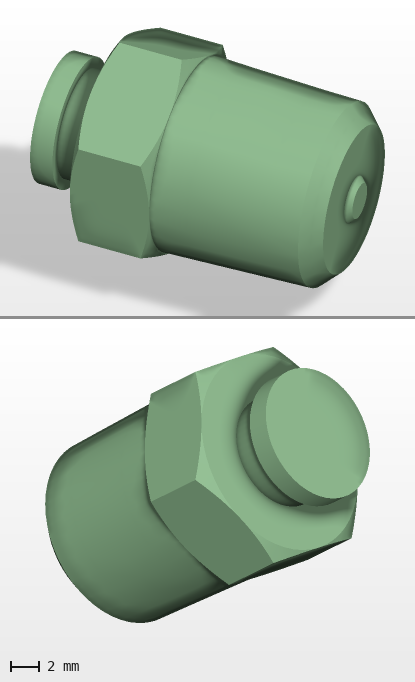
import cadquery as cq
import math

TOTAL_LENGTH = 22.73
BUTTON_HEAD_END = 1.68
HEX_START = 4.02
HEX_END = 9.98
BODY_END = 22.3

BUTTON_HEAD_DIAMETER = 9.52
BUTTON_NECK_DIAMETER = 7.95

HEX_ACROSS_FLATS = 14.3
HEX_ACROSS_CORNERS = HEX_ACROSS_FLATS / math.cos(math.radians(30))
HEX_CHAMFER_ANGLE = 30.0

STUD_ROOT_DIAMETER = 14.07
STUD_DIAMETER_TAPER = 1 / 16
STUD_CHAMFER = 1.32

TIP_BASE_DIAMETER = 3.45
TIP_LENGTH = TOTAL_LENGTH - BODY_END


def turned(profile):
    """Revolve a closed (x, radius) outline about the X axis."""
    return cq.Workplane("XY").polyline(profile).close().revolve(360, (0, 0, 0), (1, 0, 0))


def make_button():
    head_radius = BUTTON_HEAD_DIAMETER / 2
    neck_radius = BUTTON_NECK_DIAMETER / 2
    return turned([
        (0, 0),
        (0, head_radius),
        (BUTTON_HEAD_END, head_radius),
        (BUTTON_HEAD_END, neck_radius),
        (HEX_START, neck_radius),
        (HEX_START, 0),
    ])


def make_hexagon():
    """Hexagonal prism with both ends' corners turned off by a cone."""
    prism = (
        cq.Workplane("YZ", origin=(HEX_START, 0, 0))
        .transformed(rotate=(0, 0, 90))
        .polygon(6, HEX_ACROSS_CORNERS)
        .extrude(HEX_END - HEX_START)
    )
    face_radius = HEX_ACROSS_FLATS / 2
    corner_radius = HEX_ACROSS_CORNERS / 2
    chamfer_length = (corner_radius - face_radius) * math.tan(math.radians(HEX_CHAMFER_ANGLE))
    envelope = turned([
        (HEX_START, 0),
        (HEX_START, face_radius),
        (HEX_START + chamfer_length, corner_radius),
        (HEX_END - chamfer_length, corner_radius),
        (HEX_END, face_radius),
        (HEX_END, 0),
    ])
    return prism.intersect(envelope)


def make_stud():
    root_radius = STUD_ROOT_DIAMETER / 2
    taper_end = BODY_END - STUD_CHAMFER
    end_radius = root_radius - (taper_end - HEX_END) * STUD_DIAMETER_TAPER / 2
    return turned([
        (HEX_END, 0),
        (HEX_END, root_radius),
        (taper_end, end_radius),
        (BODY_END, end_radius - STUD_CHAMFER),
        (BODY_END, 0),
    ])


def make_body():
    return make_hexagon().union(make_stud())


def make_tip():
    """Short cone with a 45 degree flank."""
    base_radius = TIP_BASE_DIAMETER / 2
    return turned([
        (BODY_END, 0),
        (BODY_END, base_radius),
        (TOTAL_LENGTH, base_radius - TIP_LENGTH),
        (TOTAL_LENGTH, 0),
    ])


button = make_button()
body = make_body()
tip = make_tip()

result = cq.Compound.makeCompound([button.val(), body.val(), tip.val()])